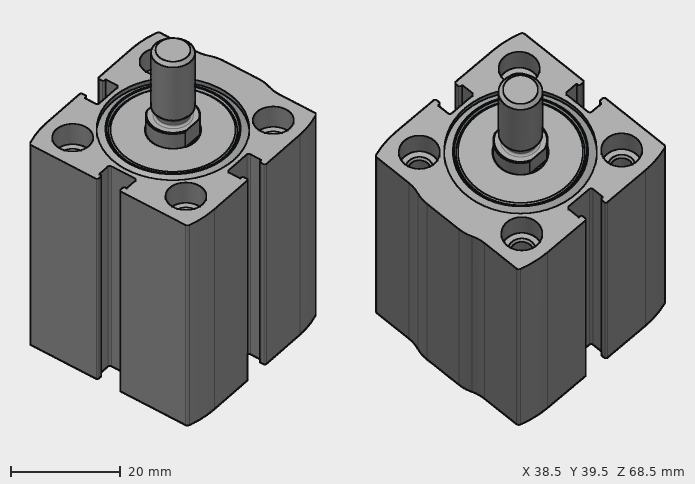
import cadquery as cq
import math

width = 38.5
half = width / 2
bump_rise = 1.0
bump_top_half = 4.1
bump_base_half = 9.6
flat_side_half = 12.75
side_taper = 1.1
corner_radius = 0.6

total_height = 68.5
housing_height = 49.1

slot_angles = (-90, 0, 90)
slot_mouth_half = 5.0 / 2
slot_inner_half = 3.15
slot_depth = 4.4
slot_lip = 1.4
slot_lip_radius = 0.35
slot_floor_radius = 0.5

hole_offset = 13.0
hole_radius = 4.1 / 2
hole_countersink_radius = 5.0 / 2
counterbore_radius = 7.5 / 2
counterbore_depth = 5.0

cap_recess_radius = 27.8 / 2
cap_recess_depth = 1.0
cap_cone_radius = 12.3
groove_outer_radius = 12.05
groove_floor_radius = 11.7
groove_depth = 0.5
cap_face_radius = 11.4
cap_face_drop = 0.2
cap_face_height = housing_height - cap_face_drop

collar_radius = 10.0 / 2
collar_chamfer = 0.2
collar_top = housing_height + 3.4
across_flats = 9.0
flat_sink = 0.35
thread_radius = 8.0 / 2
thread_length = 13.7
tip_radius = 6.4 / 2
tip_chamfer_height = 0.7
neck_radius = 6.4 / 2
neck_fillet = 0.5
neck_cone_angle = math.radians(45)
rod_bottom = cap_face_height - 5.0
rod_entry_chamfer = 0.15


def revolve_profile(profile):
    """Solid of revolution about Z from a closed outline in radius and height."""
    return profile.close().revolve(360, (0, 0, 0), (0, 1, 0))


def revolve_points(points):
    return revolve_profile(cq.Workplane("XZ").polyline(points))


def housing_blank():
    """Square body with tapering sides and a smooth bump on the +Y side."""
    taper_run = half - flat_side_half
    taper_radius = (taper_run**2 + side_taper**2) / (2 * side_taper)
    half_angle = math.asin(taper_run / taper_radius) / 2
    mid_x = half - taper_radius * (1 - math.cos(half_angle))
    mid_y = flat_side_half + taper_radius * math.sin(half_angle)
    end_x = half - side_taper
    bump_top = half + bump_rise
    bump_mid_x = (bump_base_half + bump_top_half) / 2
    bump_mid_y = half + bump_rise / 2
    outline = (
        cq.Workplane("XY")
        .moveTo(half, -flat_side_half)
        .lineTo(half, flat_side_half)
        .threePointArc((mid_x, mid_y), (end_x, half))
        .lineTo(bump_base_half, half)
        .tangentArcPoint((bump_mid_x, bump_mid_y), relative=False)
        .tangentArcPoint((bump_top_half, bump_top), relative=False)
        .lineTo(-bump_top_half, bump_top)
        .tangentArcPoint((-bump_mid_x, bump_mid_y), relative=False)
        .tangentArcPoint((-bump_base_half, half), relative=False)
        .lineTo(-end_x, half)
        .threePointArc((-mid_x, mid_y), (-half, flat_side_half))
        .lineTo(-half, -flat_side_half)
        .threePointArc((-mid_x, -mid_y), (-end_x, -half))
        .lineTo(end_x, -half)
        .threePointArc((mid_x, -mid_y), (half, -flat_side_half))
        .close()
    )
    corners = [(x, y) for x in (-end_x, end_x) for y in (-half, half)]
    return round_vertical_edges(outline.extrude(housing_height), corners, corner_radius)


def round_vertical_edges(body, points, radius):
    """Fillet the full-height vertical edges that pass through the given XY points."""
    mid_height = housing_height / 2
    for x, y in points:
        nearest = cq.selectors.NearestToPointSelector((x, y, mid_height))
        body = body.edges("|Z").edges(nearest).fillet(radius)
    return body


def t_slot_cutter():
    """Full-height T-slot in the -Y side: a narrow mouth and a wider chamber behind it."""
    centering = (True, False, False)
    mouth = cq.Workplane("XY").box(
        2 * slot_mouth_half, slot_lip, housing_height, centered=centering
    )
    chamber = (
        cq.Workplane("XY")
        .box(2 * slot_inner_half, slot_depth - slot_lip, housing_height, centered=centering)
        .edges("|Z and >Y")
        .fillet(slot_floor_radius)
        .translate((0, slot_lip, 0))
    )
    return mouth.union(chamber).translate((0, -half, 0))


def slot_lip_corners():
    """XY points of the outer and inner lip corners of every slot."""
    points = []
    for angle in slot_angles:
        turn = math.radians(angle)
        for x in (-slot_mouth_half, slot_mouth_half):
            for y in (-half, slot_lip - half):
                turned_x = x * math.cos(turn) - y * math.sin(turn)
                turned_y = x * math.sin(turn) + y * math.cos(turn)
                points.append((turned_x, turned_y))
    return points


def screw_hole_cutter():
    """Through hole with a counterbore and a small countersink in its floor."""
    floor = housing_height - counterbore_depth
    countersink_depth = hole_countersink_radius - hole_radius
    return revolve_points([
        (0, 0),
        (hole_radius, 0),
        (hole_radius, floor - countersink_depth),
        (hole_countersink_radius, floor),
        (counterbore_radius, floor),
        (counterbore_radius, housing_height),
        (0, housing_height),
    ])


def cap_rim_cutter():
    """Recess around the cap, with a straight outer wall and a conical inner wall."""
    return revolve_points([
        (cap_cone_radius, housing_height),
        (cap_recess_radius, housing_height),
        (cap_recess_radius, housing_height - cap_recess_depth),
    ])


def cap_face_cutter():
    """Slightly sunken cap face with a fine V-groove around it."""
    return revolve_points([
        (0, housing_height),
        (0, cap_face_height),
        (cap_face_radius, cap_face_height),
        (groove_floor_radius, housing_height - groove_depth),
        (groove_outer_radius, housing_height),
    ])


def rod_seat_cutter():
    """Blind hole that fits the rod, chamfered at the cap face."""
    return revolve_points([
        (0, rod_bottom),
        (collar_radius, rod_bottom),
        (collar_radius, cap_face_height - rod_entry_chamfer),
        (collar_radius + rod_entry_chamfer, cap_face_height),
        (0, cap_face_height),
    ])


def make_housing():
    body = housing_blank()
    for angle in slot_angles:
        body = body.cut(t_slot_cutter().rotate((0, 0, 0), (0, 0, 1), angle))
    body = round_vertical_edges(body, slot_lip_corners(), slot_lip_radius)
    for x in (-hole_offset, hole_offset):
        for y in (-hole_offset, hole_offset):
            body = body.cut(screw_hole_cutter().translate((x, y, 0)))
    return body.cut(cap_rim_cutter()).cut(cap_face_cutter()).cut(rod_seat_cutter())


def rod_blank():
    """Turned rod: collar, filleted neck, cone up to the thread, chamfered tip."""
    thread_bottom = total_height - thread_length
    cone_foot = thread_bottom - (thread_radius - neck_radius) / math.tan(neck_cone_angle)
    tangent_length = neck_fillet * math.tan(neck_cone_angle / 2)
    cone_start = (
        neck_radius + tangent_length * math.sin(neck_cone_angle),
        cone_foot + tangent_length * math.cos(neck_cone_angle),
    )
    profile = (
        cq.Workplane("XZ")
        .moveTo(0, rod_bottom)
        .lineTo(collar_radius, rod_bottom)
        .lineTo(collar_radius, collar_top - collar_chamfer)
        .lineTo(collar_radius - collar_chamfer, collar_top)
        .lineTo(neck_radius + neck_fillet, collar_top)
        .tangentArcPoint((neck_radius, collar_top + neck_fillet), relative=False)
        .lineTo(neck_radius, cone_foot - tangent_length)
        .tangentArcPoint(cone_start, relative=False)
        .lineTo(thread_radius, thread_bottom)
        .lineTo(thread_radius, total_height - tip_chamfer_height)
        .lineTo(tip_radius, total_height)
        .lineTo(0, total_height)
    )
    return revolve_profile(profile)


def make_rod():
    rod = rod_blank()
    flat_bottom = cap_face_height - flat_sink
    flat_cutter = cq.Workplane("XY").box(
        collar_radius, 2 * collar_radius, collar_top - flat_bottom, centered=(True, True, False)
    )
    flat_offset = (across_flats + collar_radius) / 2
    for side in (-1, 1):
        rod = rod.cut(flat_cutter.translate((side * flat_offset, 0, flat_bottom)))
    return rod


housing = make_housing()
piston_rod = make_rod()
result = cq.Compound.makeCompound([housing.solids().val(), piston_rod.solids().val()])